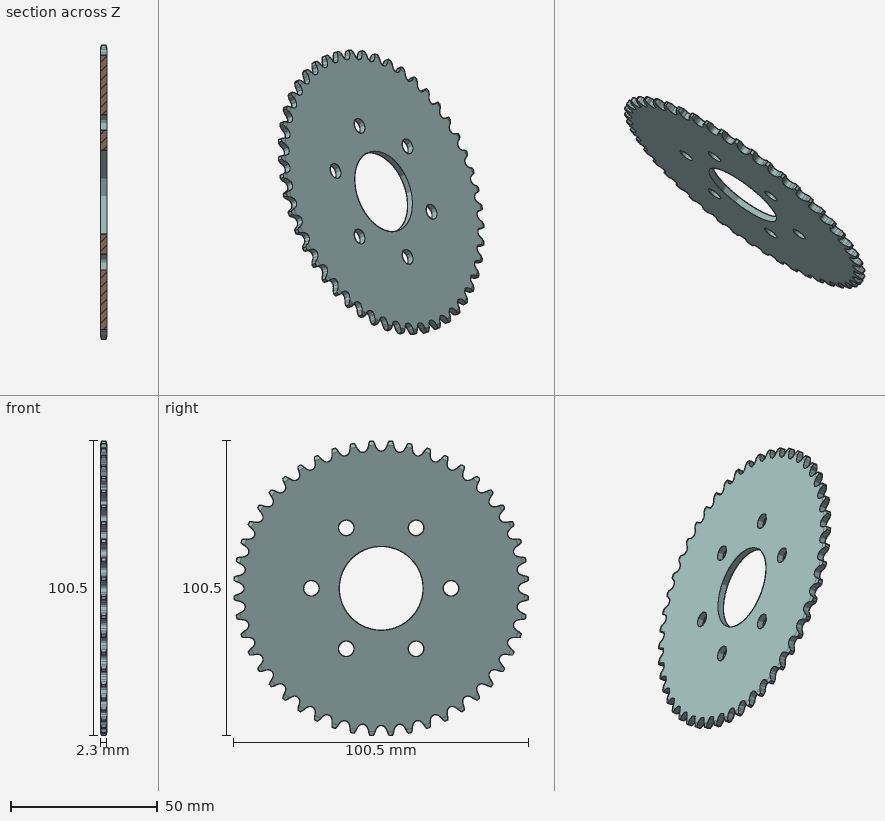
import cadquery as cq
import math

outer_size = 100.5
thickness = 2.3

bore_diameter = 28.5
bolt_count = 6
bolt_circle_diameter = 47.6
bolt_hole_diameter = 5.2

tooth_count = 48
pitch_diameter = 97.1
roller_diameter = 3.3
seat_radius = 1.7
bevel_depth = 0.4
bevel_height = 1.4

working_centre_offset = 0.8 * roller_diameter
working_radius = working_centre_offset + seat_radius
topping_centre_offset = 1.6 * roller_diameter
tooth_angle = 360 / tooth_count
half_tooth_angle = tooth_angle / 2
seat_angle = 35 + 60 / tooth_count
working_angle = 18 - 56 / tooth_count
flank_angle = seat_angle - working_angle


def offset(start, distance, drop_angle):
    """Move from start across the tooth gap, dropping inward by drop_angle degrees."""
    drop = math.radians(drop_angle)
    return (
        start[0] - distance * math.sin(drop),
        start[1] + distance * math.cos(drop),
    )


def rotated(point, degrees):
    """Rotate a 2D point about the sprocket centre."""
    angle = math.radians(degrees)
    x, y = point
    return (
        x * math.cos(angle) - y * math.sin(angle),
        x * math.sin(angle) + y * math.cos(angle),
    )


def mirrored(point):
    """Reflect a point to the other side of the tooth gap."""
    return (point[0], -point[1])


roller_centre = (pitch_diameter / 2, 0)
seat_bottom = (roller_centre[0] - seat_radius, 0)
seat_end = offset(roller_centre, seat_radius, seat_angle)
working_centre = offset(roller_centre, -working_centre_offset, seat_angle)
working_middle = offset(working_centre, working_radius, seat_angle - working_angle / 2)
working_end = offset(working_centre, working_radius, flank_angle)

topping_centre = offset(roller_centre, topping_centre_offset, half_tooth_angle)
topping_radius = (
    topping_centre_offset * math.cos(math.radians(flank_angle - half_tooth_angle))
    + working_centre_offset * math.cos(math.radians(working_angle))
    - working_radius
)
topping_start = offset(topping_centre, -topping_radius, flank_angle)

along, across = rotated(topping_centre, -half_tooth_angle)
apex_tilt = math.asin(across / topping_radius)
apex = rotated((along + topping_radius * math.cos(apex_tilt), 0), half_tooth_angle)
apex_angle = 90 - math.degrees(apex_tilt) + half_tooth_angle
topping_middle = offset(topping_centre, -topping_radius, (flank_angle + apex_angle) / 2)

tip_reach = outer_size / 2
tip_side = topping_centre[1] - math.sqrt(topping_radius**2 - (tip_reach - topping_centre[0])**2)
tip_radius = math.hypot(tip_reach, tip_side)


def toothed_plate():
    """Plate with pointed teeth; a tooth gap is centred on each axis."""
    outline = cq.Workplane("YZ").moveTo(*mirrored(apex))
    for tooth in range(tooth_count):
        turn = tooth * tooth_angle
        outline = (
            outline
            .threePointArc(rotated(mirrored(topping_middle), turn), rotated(mirrored(topping_start), turn))
            .lineTo(*rotated(mirrored(working_end), turn))
            .threePointArc(rotated(mirrored(working_middle), turn), rotated(mirrored(seat_end), turn))
            .threePointArc(rotated(seat_bottom, turn), rotated(seat_end, turn))
            .threePointArc(rotated(working_middle, turn), rotated(working_end, turn))
            .lineTo(*rotated(topping_start, turn))
            .threePointArc(rotated(topping_middle, turn), rotated(apex, turn))
        )
    return outline.close().extrude(thickness)


def bevelled_blank():
    """Round disc along X whose rim is bevelled on both faces."""
    bevel_start_radius = tip_radius - bevel_height
    profile = [
        (0, 0),
        (0, bevel_start_radius),
        (bevel_depth, tip_radius),
        (thickness - bevel_depth, tip_radius),
        (thickness, bevel_start_radius),
        (thickness, 0),
    ]
    return cq.Workplane("XY").polyline(profile).close().revolve(360, (0, 0, 0), (1, 0, 0))


bore = cq.Workplane("YZ").circle(bore_diameter / 2).extrude(thickness)
bolt_holes = (
    cq.Workplane("YZ")
    .polarArray(bolt_circle_diameter / 2, 0, 360, bolt_count)
    .circle(bolt_hole_diameter / 2)
    .extrude(thickness)
)

sprocket = toothed_plate().intersect(bevelled_blank()).cut(bore).cut(bolt_holes)

result = sprocket.translate((-thickness / 2, 0, 0))